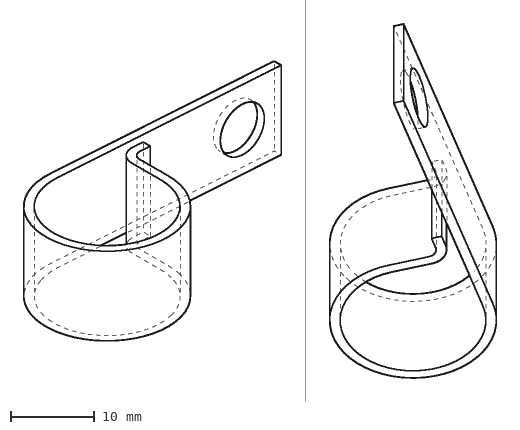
import cadquery as cq
import math

thickness = 1.25
width = 12.7
total_length = 46.45

outer_radius = 9.95
inner_radius = outer_radius - thickness
leg_end = total_length - outer_radius

lip_gap = 1.2
lip_end = 12.85
bend_inner_radius = 1.25
bend_outer_radius = bend_inner_radius + thickness
lip_outer_x = -inner_radius + lip_gap
lip_inner_x = lip_outer_x + thickness
bend_x = lip_outer_x + bend_outer_radius
bend_y = outer_radius + bend_inner_radius

hole_diameter = 7.15
hole_y = leg_end - width / 2


def bend_middle(radius):
    """Point halfway round the quarter-circle lip bend."""
    offset = radius * math.sqrt(0.5)
    return (bend_x - offset, bend_y - offset)


def make_strip():
    """Leg, three-quarter loop and lip, extruded across the strip width."""
    diagonal = math.sqrt(0.5)
    outer_middle = (outer_radius * diagonal, -outer_radius * diagonal)
    inner_middle = (inner_radius * diagonal, -inner_radius * diagonal)
    return (
        cq.Workplane("XY")
        .moveTo(-outer_radius, leg_end)
        .lineTo(-outer_radius, 0)
        .threePointArc(outer_middle, (0, outer_radius))
        .lineTo(bend_x, outer_radius)
        .threePointArc(bend_middle(bend_inner_radius), (lip_inner_x, bend_y))
        .lineTo(lip_inner_x, lip_end)
        .lineTo(lip_outer_x, lip_end)
        .lineTo(lip_outer_x, bend_y)
        .threePointArc(bend_middle(bend_outer_radius), (bend_x, inner_radius))
        .lineTo(0, inner_radius)
        .threePointArc(inner_middle, (-inner_radius, 0))
        .lineTo(-inner_radius, leg_end)
        .close()
        .extrude(width)
    )


def make_hole():
    """Cylinder that passes through the leg only."""
    return (
        cq.Workplane("YZ", origin=(-outer_radius, hole_y, width / 2))
        .circle(hole_diameter / 2)
        .extrude(thickness)
    )


result = make_strip().cut(make_hole())